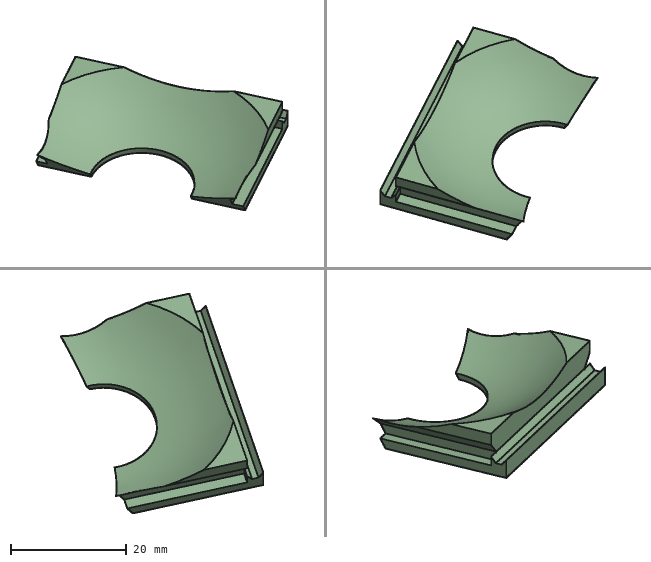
import cadquery as cq
import math

width = 37.8
height = 8.0
back_y = 23.47
front_lean = 60.0

ledge_depth = 2.95
ledge_height = 3.5
groove_floor_z = 2.42
groove_slope_run = 0.9

slot_depth = 2.0
slot_floor_z = 1.78
slot_wall_top_z = ledge_height
slot_shoulder_z = 5.8

bowl_radius = 36.2
bowl_center_z = 36.15
hole_radius = 9.2

half_width = width / 2
wall_y = back_y - ledge_depth
front_top_y = -height / math.tan(math.radians(front_lean))


def make_block():
    """Side profile with the leaning front and grooved ledge, swept across X."""
    profile = [
        (0, 0),
        (back_y, 0),
        (back_y, ledge_height),
        (back_y - groove_slope_run, groove_floor_z),
        (wall_y + groove_slope_run, groove_floor_z),
        (wall_y, ledge_height),
        (wall_y, height),
        (front_top_y, height),
    ]
    return cq.Workplane("YZ").polyline(profile).close().extrude(half_width, both=True)


def make_side_slot(side):
    """Undercut slot on one side (-1 or 1), from the ledge out through the front."""
    outer_x = side * half_width
    inner_x = side * (half_width - slot_depth)
    profile = [
        (outer_x, slot_floor_z),
        (inner_x, slot_floor_z),
        (inner_x, slot_wall_top_z),
        (outer_x, slot_shoulder_z),
    ]
    length = wall_y - front_top_y
    return cq.Workplane("XZ", origin=(0, wall_y, 0)).polyline(profile).close().extrude(length)


def make_bowl():
    return cq.Workplane("XY").sphere(bowl_radius).translate((0, 0, bowl_center_z))


def make_hole():
    return cq.Workplane("XY").circle(hole_radius).extrude(height)


result = make_block()
for side in (-1, 1):
    result = result.cut(make_side_slot(side))
result = result.cut(make_bowl()).cut(make_hole())